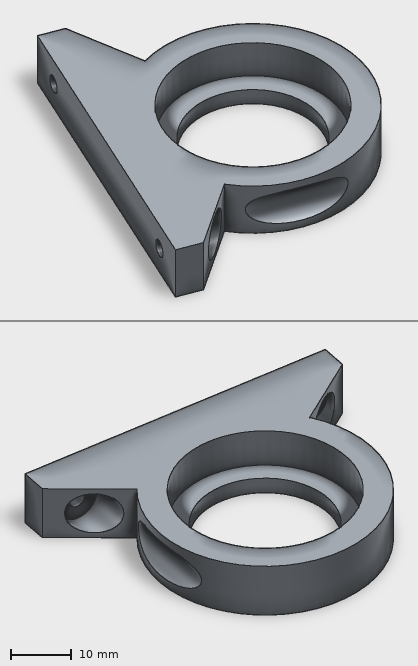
import cadquery as cq
import math

base_length = 60.0
thickness = 10.0
foot_height = 5.0
ring_diameter = 42.2
overall_depth = 47.1
ring_radius = ring_diameter / 2
ring_center_y = overall_depth - ring_radius
flank_angle = 35.0

bore_diameter = 25.0
seat_diameter = 32.2
seat_depth = 7.0

screw_spacing = 46.0
screw_diameter = 3.1
head_diameter = 8.0
head_floor_y = foot_height


def make_base():
    """Foot with shoulders rising at the flank angle towards the ring center line."""
    half_length = base_length / 2
    top_half_width = seat_diameter / 2
    top_y = foot_height + (half_length - top_half_width) * math.tan(math.radians(flank_angle))
    return (
        cq.Workplane("XY")
        .moveTo(-half_length, 0)
        .lineTo(half_length, 0)
        .lineTo(half_length, foot_height)
        .lineTo(top_half_width, top_y)
        .lineTo(-top_half_width, top_y)
        .lineTo(-half_length, foot_height)
        .close()
        .extrude(thickness)
    )


def cylinder_up(diameter, bottom_z):
    """Cylinder on the ring axis, from bottom_z to the top face."""
    return (
        cq.Workplane("XY", origin=(0, ring_center_y, bottom_z))
        .circle(diameter / 2)
        .extrude(thickness - bottom_z)
    )


def screw_cut(x, diameter, start_y):
    """Cylinder parallel to Y at mid thickness, from start_y past the ring."""
    return cq.Workplane(
        cq.Plane(origin=(x, start_y, thickness / 2), xDir=(1, 0, 0), normal=(0, 1, 0))
    ).circle(diameter / 2).extrude(overall_depth - start_y)


result = make_base().union(cylinder_up(ring_diameter, 0))
result = result.cut(cylinder_up(bore_diameter, 0))
result = result.cut(cylinder_up(seat_diameter, thickness - seat_depth))

for side in (-1, 1):
    screw_x = side * screw_spacing / 2
    result = result.cut(screw_cut(screw_x, screw_diameter, 0))
    result = result.cut(screw_cut(screw_x, head_diameter, head_floor_y))